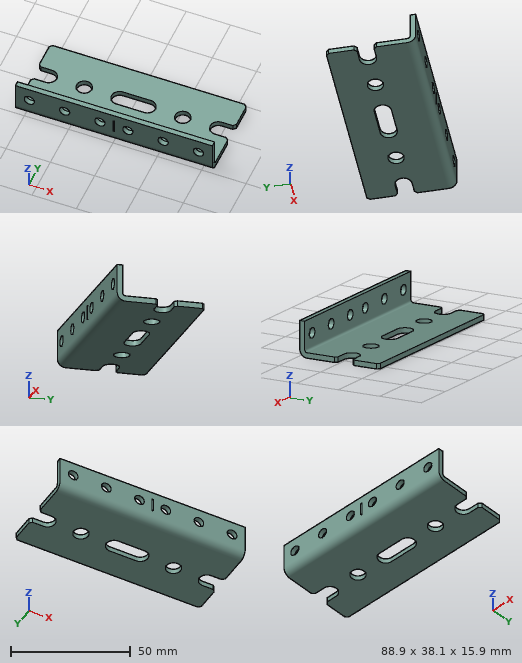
import cadquery as cq

length = 88.9
depth = 38.1
height = 15.9
thickness = 2.4
inner_bend_radius = 1.25
outer_bend_radius = inner_bend_radius + thickness
corner_chamfer = 1.2

base_line_y = 21.5
base_hole_diameter = 6.8
base_hole_offset = length / 4
slot_width = 7.2
center_slot_length = 19.7
end_notch_depth = 9.8

upright_line_z = 9.3
upright_hole_diameter = 4.5
inner_hole_offset = 6.3
hole_pitch = 15.9
holes_per_side = 3
mark_height = 6.05
mark_width = 0.8
mark_depth = 0.45


def bent_sheet():
    """L profile in the YZ plane, extruded along X and rounded at the bend."""
    profile = [
        (0, 0),
        (depth, 0),
        (depth, thickness),
        (thickness, thickness),
        (thickness, height),
        (0, height),
    ]
    sheet = cq.Workplane("YZ").polyline(profile).close().extrude(length / 2, both=True)
    inner_edge = cq.selectors.NearestToPointSelector((0, thickness, thickness))
    sheet = sheet.edges("|X").edges(inner_edge).fillet(inner_bend_radius)
    outer_edge = cq.selectors.NearestToPointSelector((0, 0, 0))
    return sheet.edges("|X").edges(outer_edge).fillet(outer_bend_radius)


def base_slots():
    """Central slot and the two notches open at the ends of the base."""
    slots = cq.Workplane("XY").center(0, base_line_y)
    center_slot = slots.slot2D(center_slot_length, slot_width).extrude(thickness)
    end_notches = (
        slots.pushPoints([(-length / 2, 0), (length / 2, 0)])
        .slot2D(2 * end_notch_depth, slot_width)
        .extrude(thickness)
    )
    return center_slot.union(end_notches)


def base_holes():
    return (
        cq.Workplane("XY")
        .pushPoints([(side * base_hole_offset, base_line_y) for side in (-1, 1)])
        .circle(base_hole_diameter / 2)
        .extrude(thickness)
    )


def upright_holes():
    """Two mirrored rows of holes through the upright flange."""
    offsets = [inner_hole_offset + i * hole_pitch for i in range(holes_per_side)]
    centers = [(side * x, upright_line_z) for side in (-1, 1) for x in offsets]
    return (
        cq.Workplane("XZ")
        .pushPoints(centers)
        .circle(upright_hole_diameter / 2)
        .extrude(-thickness)
    )


def center_mark():
    """Shallow V groove on the outer face of the upright flange."""
    return (
        cq.Workplane("XY", origin=(0, 0, upright_line_z))
        .polyline([(-mark_width / 2, 0), (mark_width / 2, 0), (0, mark_depth)])
        .close()
        .extrude(mark_height / 2, both=True)
    )


def chamfer_end_corners(bracket):
    """Chamfer the rear corners and both mouth corners of each end notch."""
    for x in (-length / 2, length / 2):
        for y in (base_line_y - slot_width / 2, base_line_y + slot_width / 2, depth):
            corner = cq.selectors.NearestToPointSelector((x, y, thickness / 2))
            bracket = bracket.edges("|Z").edges(corner).chamfer(corner_chamfer)
    return bracket


bracket = bent_sheet().cut(base_slots()).cut(base_holes())
bracket = chamfer_end_corners(bracket)
result = bracket.cut(upright_holes()).cut(center_mark())